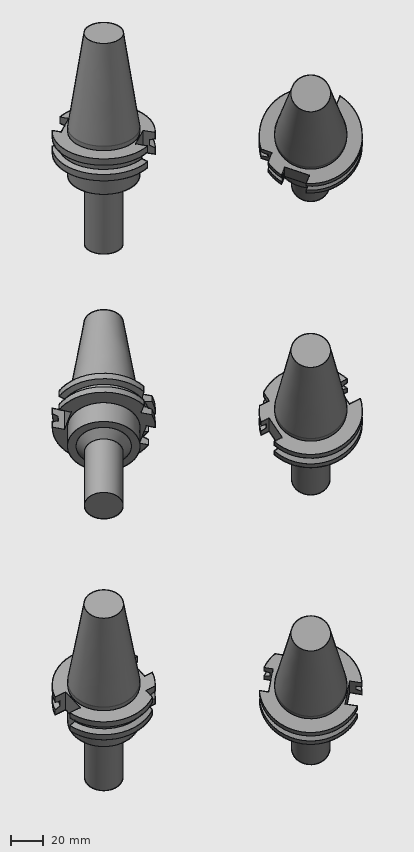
import cadquery as cq

total_length = 153.4
taper_length = 68.4
collar_height = 3.2
flange_height = 16.0
cone_height = 5.0
shank_length = 45.0

taper_small_diameter = 24.4
gauge_diameter = 44.5
flange_diameter = 63.5
body_diameter = 44.6
shank_diameter = 24.0
cone_top_diameter = shank_diameter + 2 * cone_height

groove_floor_diameter = 56.3
groove_mouth_height = 6.7
groove_floor_height = 3.8

slot_width = 16.1
left_slot_floor = 25.0
right_slot_floor = 22.9
notch_offset = 18.7

cone_top = shank_length + cone_height
gauge_level = total_length - taper_length
flange_top = gauge_level - collar_height
flange_bottom = flange_top - flange_height
groove_center = (flange_top + flange_bottom) / 2


def turned_body():
    """Revolve the half profile of the holder about the Z axis."""
    flange_radius = flange_diameter / 2
    floor_radius = groove_floor_diameter / 2
    profile = [
        (0, 0),
        (shank_diameter / 2, 0),
        (shank_diameter / 2, shank_length),
        (cone_top_diameter / 2, cone_top),
        (body_diameter / 2, cone_top),
        (body_diameter / 2, flange_bottom),
        (flange_radius, flange_bottom),
        (flange_radius, groove_center - groove_mouth_height / 2),
        (floor_radius, groove_center - groove_floor_height / 2),
        (floor_radius, groove_center + groove_floor_height / 2),
        (flange_radius, groove_center + groove_mouth_height / 2),
        (flange_radius, flange_top),
        (gauge_diameter / 2, flange_top),
        (gauge_diameter / 2, gauge_level),
        (taper_small_diameter / 2, total_length),
        (0, total_length),
    ]
    return cq.Workplane("XZ").polyline(profile).close().revolve(360, (0, 0), (0, 1))


def flange_cutter(x_start, x_end, y_start, y_end):
    """Box through the full flange height between the given X and Y limits."""
    return (
        cq.Workplane("XY", origin=(x_start, y_start, flange_bottom))
        .rect(x_end - x_start, y_end - y_start, centered=False)
        .extrude(flange_height)
    )


result = turned_body()

for slot_floor, outer_end in (
    (-left_slot_floor, -flange_diameter),
    (right_slot_floor, flange_diameter),
):
    slot = flange_cutter(slot_floor, outer_end, -slot_width / 2, slot_width / 2)
    result = result.cut(slot)

notch = flange_cutter(-notch_offset, -flange_diameter, notch_offset, flange_diameter)
result = result.cut(notch)